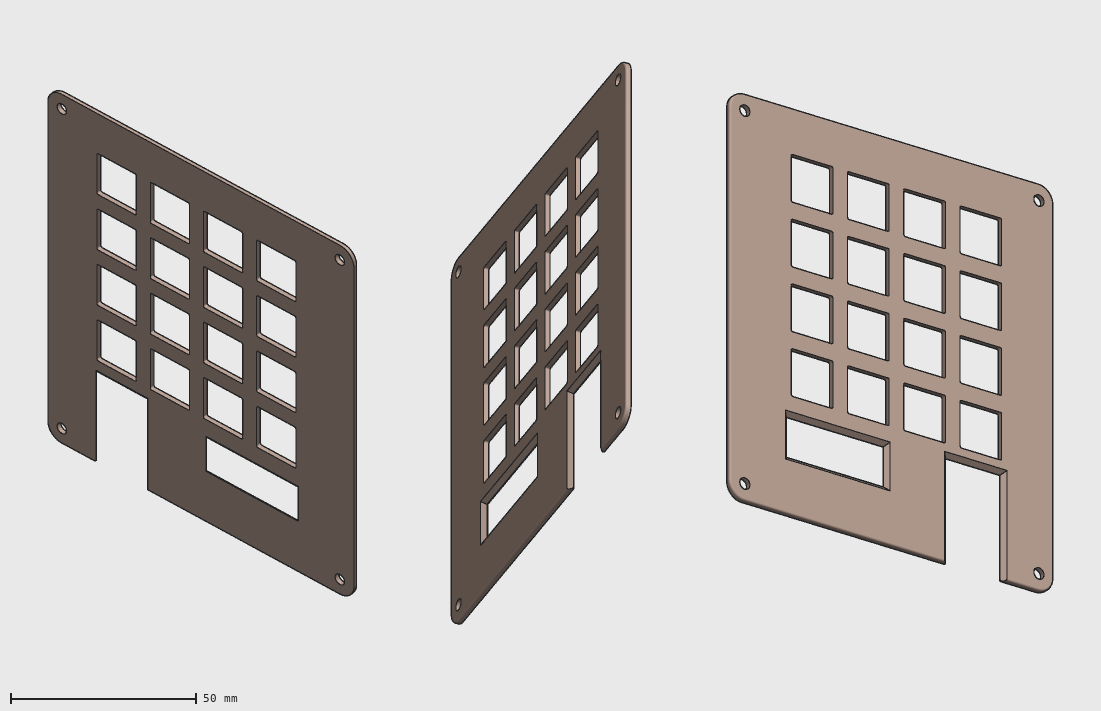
import cadquery as cq

plate_width = 109.7
plate_height = 119.9
plate_thickness = 1.5
corner_radius = 5.0
rim_radius = 0.6

screw_hole_diameter = 3.4

key_count = 4
key_pitch = 19.1
key_size = 14.0
key_corner_radius = 0.5
key_grid_x = -1.5
key_grid_z = 10.7

notch_left = -37.7
notch_width = 18.5
notch_top = -28.8
notch_mouth_radius = 0.5

window_width = 32.9
window_height = 11.8
window_x = 18.3
window_z = -36.8

opening_bevel = 1.3
bevel_angle = 45


def block(width, height, x, z):
    """Block as thick as the plate, centred at (x, z)."""
    return cq.Workplane("XY").box(width, plate_thickness, height).translate((x, 0, z))


def back_flare(width, height, x, z):
    """Four-sided 45 degree flare that widens an opening toward the back face."""
    return (
        cq.Workplane("XZ", origin=(x, plate_thickness / 2, z))
        .rect(width + 2 * opening_bevel, height + 2 * opening_bevel)
        .extrude(opening_bevel, taper=bevel_angle)
    )


def plate():
    """Blank with rounded corners and a rounded rim on the back face."""
    blank = block(plate_width, plate_height, 0, 0).edges("|Y").fillet(corner_radius)
    return blank.faces(">Y").edges().fillet(rim_radius)


def screw_holes():
    spacing_x = plate_width - 2 * corner_radius
    spacing_z = plate_height - 2 * corner_radius
    return (
        cq.Workplane("XZ")
        .rarray(spacing_x, spacing_z, 2, 2)
        .circle(screw_hole_diameter / 2)
        .extrude(plate_thickness / 2, both=True)
    )


def key_openings():
    openings = cq.Workplane("XY")
    middle = (key_count - 1) / 2
    for column in range(key_count):
        for row in range(key_count):
            x = key_grid_x + (column - middle) * key_pitch
            z = key_grid_z + (row - middle) * key_pitch
            opening = block(key_size, key_size, x, z).edges("|Y").fillet(key_corner_radius)
            openings = openings.add(opening)
    return openings.combine()


def notch():
    """Notch centred on the bottom edge of the plate, with rounded corners at its mouth."""
    height = 2 * (notch_top + plate_height / 2)
    x = notch_left + notch_width / 2
    bottom_edge = -plate_height / 2
    opening = block(notch_width, height, x, bottom_edge)
    below_plate = block(plate_width, height / 2, 0, bottom_edge - height / 4)
    inner_corners = cq.selectors.BoxSelector(
        (x - notch_width, -plate_thickness, bottom_edge - notch_mouth_radius),
        (x + notch_width, plate_thickness, bottom_edge + notch_mouth_radius),
    )
    mouth = opening.union(below_plate).edges("|Y").edges(inner_corners).fillet(notch_mouth_radius)
    return mouth.union(back_flare(notch_width, height, x, bottom_edge))


def window():
    opening = block(window_width, window_height, window_x, window_z)
    return opening.union(back_flare(window_width, window_height, window_x, window_z))


result = plate().cut(screw_holes()).cut(key_openings()).cut(notch()).cut(window())